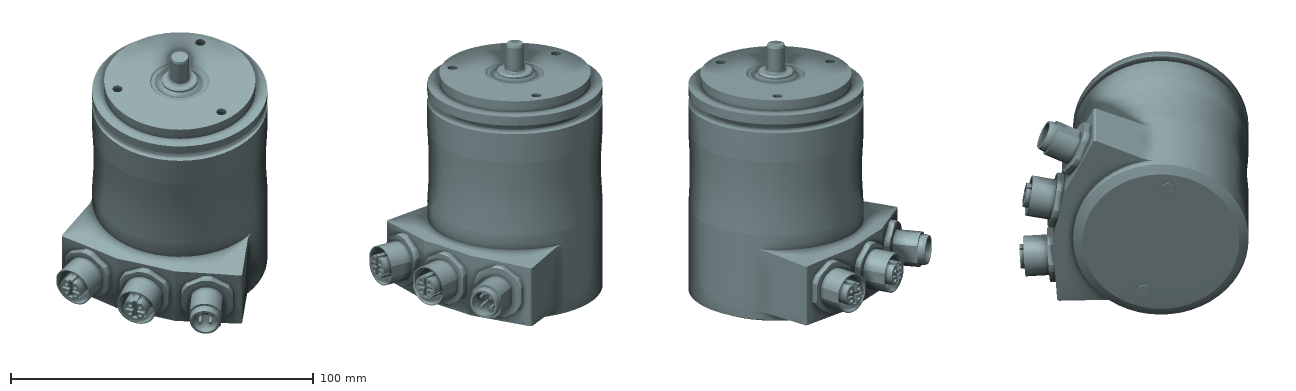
import cadquery as cq
import math

BODY_R = 29.0
SPIGOT_R = 25.05
FOOT_H = 0.3
BASE_CHAMFER_R = 3.1
BASE_CHAMFER_H = 1.4
WAIST_BOTTOM_Z = 31.7
WAIST_TOP_Z = 57.6
WAIST_DEPTH = 0.5
SHOULDER_Z = 68.0
FLANGE_BOTTOM_Z = 71.0
FLANGE_TOP_Z = 74.2
TOP_Z = 78.1

FOOT_R = 2.5
FOOT_X = 20.0
FOOT_Y = -1.7

MOUNT_HOLE_R = 1.7
MOUNT_CIRCLE_R = 21.0
MOUNT_HOLE_DEPTH = 9.7
MOUNT_COUNT = 3

SHAFT_R = 3.0
SHAFT_TIP_Z = 88.5
SHAFT_TIP_CHAMFER_R = 0.3
SHAFT_TIP_CHAMFER_H = 0.8
SHAFT_ROOT_CHAMFER = 0.35
COLLAR_R = 5.9
COLLAR_H = 1.0
COLLAR_CHAMFER = 0.35
SKIRT_R = 7.3
SEAT_STEP_R = 9.8
SEAT_STEP = 0.35
SEAT_DISH_R = 8.2
SEAT_DEPTH = 0.35
SEAT_DISH_BULGE = 0.7

BLOCK_BOTTOM_Z = 4.5
BLOCK_TOP_Z = 26.5
BLOCK_TOP_SLOPE = 5.0
BLOCK_FRONT_Y = -34.4
BLOCK_FRONT_HALF_W = 10.2
BLOCK_CORNER_X = 31.6
BLOCK_SIDE_SLOPE = 12.6
FAN_ANGLE = 15.0
BLOCK_CORNER_FILLET = 0.8
BLOCK_FRONT_FILLET = 1.8
BLOCK_ROOT_FILLET = 8.0

CONNECTOR_Z = (BLOCK_BOTTOM_Z + BLOCK_TOP_Z) / 2
CONNECTOR_OFFSET = 10.8
NUT_FLATS = 17.0
NUT_R = 9.1
NUT_T = 2.1
NUT_CHAMFER = 0.35

SOCKET_R = 6.7
SOCKET_FLAT = 6.5
SOCKET_L = 10.1
SOCKET_BORE_R = 6.0
SOCKET_BORE_DEPTH = 8.0
SOCKET_BORE_CHAMFER = 0.35
INSERT_R = 4.1
INSERT_L = 11.5
INSERT_LEDGE_Y = 3.3
INSERT_LEDGE_HALF_W = 2.1
INSERT_RIB_W = 1.5
INSERT_SLOT_W = INSERT_RIB_W
INSERT_SLOT_L = 6.7
INSERT_CROSS_SLOT_W = 1.1
INSERT_SLOT_DEPTH = 1.3
KEYWAY_W = 0.8
KEYWAY_DEPTH = 0.9
KEYWAY_Y = -1.6
CONTACT_R = 0.7
CONTACT_PITCH = 3.45
CONTACT_DEPTH = 2.65

PLUG_R = 5.9
PLUG_FLAT = 5.1
PLUG_BARREL_L = 10.6
PLUG_L = 13.1
PLUG_TIP_R = 5.1
PLUG_TIP_TAPER_L = 1.2
PLUG_TIP_TAPER = 12.0
PLUG_BORE_R = 4.2
PLUG_BORE_DEPTH = 8.85
PIN_R = 0.5
PIN_L = 7.1
PLUG_KEY_W = 1.0
PLUG_KEY_H = 1.4


def turned_body():
    waist_mid = (BODY_R - WAIST_DEPTH, (WAIST_BOTTOM_Z + WAIST_TOP_Z) / 2)
    return (
        cq.Workplane("XZ")
        .moveTo(0, FOOT_H)
        .lineTo(BODY_R - BASE_CHAMFER_R, FOOT_H)
        .lineTo(BODY_R, FOOT_H + BASE_CHAMFER_H)
        .lineTo(BODY_R, WAIST_BOTTOM_Z)
        .threePointArc(waist_mid, (BODY_R, WAIST_TOP_Z))
        .lineTo(BODY_R, SHOULDER_Z)
        .lineTo(SPIGOT_R, SHOULDER_Z)
        .lineTo(SPIGOT_R, FLANGE_BOTTOM_Z)
        .lineTo(BODY_R, FLANGE_BOTTOM_Z)
        .lineTo(BODY_R, FLANGE_TOP_Z)
        .lineTo(SPIGOT_R, FLANGE_TOP_Z)
        .lineTo(SPIGOT_R, TOP_Z)
        .lineTo(0, TOP_Z)
        .close()
        .revolve(360, (0, 0), (0, 1))
    )


def feet():
    return (
        cq.Workplane("XY")
        .pushPoints([(-FOOT_X, FOOT_Y), (FOOT_X, FOOT_Y)])
        .circle(FOOT_R)
        .extrude(FOOT_H)
    )


def mounting_holes():
    """Blind drilled holes with a 90 degree point."""
    drill = (
        cq.Workplane("XZ")
        .polyline([
            (0, TOP_Z),
            (MOUNT_HOLE_R, TOP_Z),
            (MOUNT_HOLE_R, TOP_Z - MOUNT_HOLE_DEPTH),
            (0, TOP_Z - MOUNT_HOLE_DEPTH - MOUNT_HOLE_R),
        ])
        .close()
        .revolve(360, (0, 0), (0, 1))
        .translate((0, MOUNT_CIRCLE_R, 0))
    )
    holes = cq.Workplane("XY")
    for i in range(MOUNT_COUNT):
        holes = holes.add(drill.rotate((0, 0, 0), (0, 0, 1), i * 360 / MOUNT_COUNT))
    return holes.combine()


def shaft_seat():
    """Stepped, dished recess in the top face around the shaft collar."""
    step_z = TOP_Z - SEAT_STEP
    floor_z = step_z - SEAT_DEPTH
    dish_mid = (
        SEAT_DISH_R - (SEAT_DISH_R - SKIRT_R) * (1 - SEAT_DISH_BULGE),
        step_z - SEAT_DEPTH * SEAT_DISH_BULGE,
    )
    return (
        cq.Workplane("XZ")
        .moveTo(0, TOP_Z)
        .lineTo(SEAT_STEP_R, TOP_Z)
        .lineTo(SEAT_STEP_R - SEAT_STEP, step_z)
        .lineTo(SEAT_DISH_R, step_z)
        .threePointArc(dish_mid, (SKIRT_R, floor_z))
        .lineTo(0, floor_z)
        .close()
        .revolve(360, (0, 0), (0, 1))
    )


def make_shaft():
    """Shaft with a collar whose skirt widens to fill the floor of the seat."""
    collar_top = TOP_Z + COLLAR_H
    return (
        cq.Workplane("XZ")
        .polyline([
            (0, TOP_Z - SEAT_STEP - SEAT_DEPTH),
            (SKIRT_R, TOP_Z - SEAT_STEP - SEAT_DEPTH),
            (COLLAR_R, TOP_Z),
            (COLLAR_R, collar_top - COLLAR_CHAMFER),
            (COLLAR_R - COLLAR_CHAMFER, collar_top),
            (SHAFT_R + SHAFT_ROOT_CHAMFER, collar_top),
            (SHAFT_R, collar_top + SHAFT_ROOT_CHAMFER),
            (SHAFT_R, SHAFT_TIP_Z - SHAFT_TIP_CHAMFER_H),
            (SHAFT_R - SHAFT_TIP_CHAMFER_R, SHAFT_TIP_Z),
            (0, SHAFT_TIP_Z),
        ])
        .close()
        .revolve(360, (0, 0), (0, 1))
    )


def connector_block():
    """Fan-shaped block blended into the round body, with a conical top face."""
    corner_y = BLOCK_FRONT_Y + (BLOCK_CORNER_X - BLOCK_FRONT_HALF_W) * math.tan(math.radians(FAN_ANGLE))
    inner_x = BLOCK_CORNER_X + corner_y * math.tan(math.radians(BLOCK_SIDE_SLOPE))
    height = BLOCK_TOP_Z - BLOCK_BOTTOM_Z
    block = (
        cq.Workplane("XY", origin=(0, 0, BLOCK_BOTTOM_Z))
        .polyline([
            (-inner_x, 0),
            (-BLOCK_CORNER_X, corner_y),
            (-BLOCK_FRONT_HALF_W, BLOCK_FRONT_Y),
            (BLOCK_FRONT_HALF_W, BLOCK_FRONT_Y),
            (BLOCK_CORNER_X, corner_y),
            (inner_x, 0),
        ])
        .close()
        .extrude(height)
    )
    block = block.edges("|Z and <X or |Z and >X").fillet(BLOCK_CORNER_FILLET)
    bend_edges = cq.selectors.BoxSelector(
        (-BODY_R, BLOCK_FRONT_Y - BLOCK_FRONT_FILLET, 0),
        (BODY_R, BLOCK_FRONT_Y + BLOCK_FRONT_FILLET, BLOCK_TOP_Z),
    )
    block = block.edges("|Z").edges(bend_edges).fillet(BLOCK_FRONT_FILLET)

    core = cq.Workplane("XY", origin=(0, 0, BLOCK_BOTTOM_Z)).circle(BODY_R).extrude(height)
    block = block.union(core)
    root_edges = cq.selectors.BoxSelector(
        (-BODY_R, -BODY_R / 2, 0), (BODY_R, -BODY_R / 5, BLOCK_TOP_Z)
    )
    block = block.edges("|Z").edges(root_edges).fillet(BLOCK_ROOT_FILLET)

    reach = 2 * BODY_R
    drop = math.tan(math.radians(BLOCK_TOP_SLOPE))
    roof = (
        cq.Workplane("XZ")
        .polyline([
            (0, BLOCK_BOTTOM_Z),
            (reach, BLOCK_BOTTOM_Z),
            (reach, BLOCK_TOP_Z - (reach - BODY_R) * drop),
            (BODY_R, BLOCK_TOP_Z),
            (0, BLOCK_TOP_Z),
        ])
        .close()
        .revolve(360, (0, 0), (0, 1))
    )
    return block.intersect(roof)


def connector_plane(side):
    """Mounting plane of the left (-1), middle (0) or right (1) connector, its normal pointing out."""
    angle = side * math.radians(FAN_ANGLE)
    x = side * (BLOCK_FRONT_HALF_W + CONNECTOR_OFFSET * math.cos(angle))
    y = BLOCK_FRONT_Y + side * CONNECTOR_OFFSET * math.sin(angle)
    return cq.Plane(
        origin=(x, y, CONNECTOR_Z),
        xDir=(math.cos(angle), math.sin(angle), 0),
        normal=(math.sin(angle), -math.cos(angle), 0),
    )


def lifted(plane, height):
    return cq.Workplane(plane).workplane(offset=height)


def hex_nut(plane):
    """Hexagon with two corners up and down, its corners turned down to a circle."""
    hexagon = (
        cq.Workplane(plane)
        .polygon(6, NUT_FLATS, circumscribed=True)
        .extrude(NUT_T)
    )
    disc = (
        cq.Workplane(plane)
        .circle(NUT_R)
        .extrude(NUT_T)
        .faces(cq.selectors.DirectionMinMaxSelector(plane.zDir))
        .chamfer(NUT_CHAMFER)
    )
    return hexagon.intersect(disc)


def flatted_barrel(plane, radius, flat, length):
    """Cylinder with a flat on its left and right side."""
    barrel = cq.Workplane(plane).circle(radius).extrude(length)
    return barrel.intersect(cq.Workplane(plane).rect(2 * flat, 2 * radius).extrude(length))


def socket_insert(plane):
    """Round contact carrier with a cross slot and four contact holes in its face.

    Two ledges beside a top rib and a side keyway run along its free length.
    """
    insert = cq.Workplane(plane).circle(INSERT_R).extrude(INSERT_L)
    slot_start = INSERT_L - INSERT_SLOT_DEPTH
    for width, height in ((INSERT_SLOT_W, INSERT_SLOT_L), (INSERT_SLOT_L, INSERT_CROSS_SLOT_W)):
        insert = insert.cut(lifted(plane, slot_start).rect(width, height).extrude(INSERT_SLOT_DEPTH))
    contacts = (
        lifted(plane, INSERT_L - CONTACT_DEPTH)
        .rect(CONTACT_PITCH, CONTACT_PITCH, forConstruction=True)
        .vertices()
        .circle(CONTACT_R)
        .extrude(CONTACT_DEPTH)
    )
    floor = SOCKET_L - SOCKET_BORE_DEPTH
    free_length = INSERT_L - floor
    ledge_w = INSERT_LEDGE_HALF_W - INSERT_RIB_W / 2
    ledge_h = INSERT_R - INSERT_LEDGE_Y
    ledge_x = (INSERT_LEDGE_HALF_W + INSERT_RIB_W / 2) / 2
    ledge_y = INSERT_LEDGE_Y + ledge_h / 2
    ledges = (
        lifted(plane, floor)
        .pushPoints([(-ledge_x, ledge_y), (ledge_x, ledge_y)])
        .rect(ledge_w, ledge_h)
        .extrude(free_length)
    )
    keyway = (
        lifted(plane, floor)
        .center(INSERT_R - KEYWAY_DEPTH / 2, KEYWAY_Y)
        .rect(KEYWAY_DEPTH, KEYWAY_W)
        .extrude(free_length)
    )
    return insert.cut(contacts).cut(ledges).cut(keyway)


def socket_connector(plane):
    bore = lifted(plane, SOCKET_L - SOCKET_BORE_DEPTH).circle(SOCKET_BORE_R).extrude(SOCKET_BORE_DEPTH)
    mouth = (
        lifted(plane, SOCKET_L)
        .circle(SOCKET_BORE_R + SOCKET_BORE_CHAMFER)
        .extrude(-2 * SOCKET_BORE_CHAMFER, taper=45)
    )
    barrel = flatted_barrel(plane, SOCKET_R, SOCKET_FLAT, SOCKET_L).cut(bore).cut(mouth)
    return hex_nut(plane).union(barrel).union(socket_insert(plane))


def plug_connector(plane):
    """Barrel with a round neck and tapered tip; four pins and a key rib stand in its bore."""
    taper_start = PLUG_L - PLUG_TIP_TAPER_L
    neck = cq.Workplane(plane).circle(PLUG_TIP_R).extrude(taper_start)
    tip = lifted(plane, taper_start).circle(PLUG_TIP_R).extrude(PLUG_TIP_TAPER_L, taper=PLUG_TIP_TAPER)
    floor = PLUG_L - PLUG_BORE_DEPTH
    bore = lifted(plane, floor).circle(PLUG_BORE_R).extrude(PLUG_BORE_DEPTH)
    pins = (
        lifted(plane, floor)
        .rect(CONTACT_PITCH, CONTACT_PITCH, forConstruction=True)
        .vertices()
        .circle(PIN_R)
        .extrude(PIN_L)
    )
    key = (
        lifted(plane, floor)
        .center(0, PLUG_BORE_R - PLUG_KEY_H / 2)
        .rect(PLUG_KEY_W, PLUG_KEY_H)
        .extrude(PIN_L)
    )
    barrel = flatted_barrel(plane, PLUG_R, PLUG_FLAT, PLUG_BARREL_L).union(neck).union(tip).cut(bore)
    return hex_nut(plane).union(barrel).union(pins).union(key)


def make_housing():
    housing = turned_body().union(feet()).union(connector_block())
    for side in (-1, 0):
        housing = housing.union(socket_connector(connector_plane(side)))
    housing = housing.union(plug_connector(connector_plane(1)))
    return housing.cut(mounting_holes()).cut(shaft_seat())


housing = make_housing()
shaft = make_shaft()
result = cq.Compound.makeCompound([housing.val(), shaft.val()])